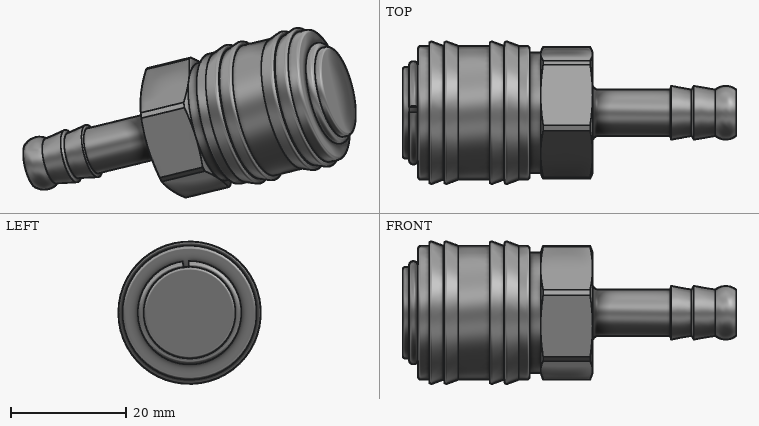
import cadquery as cq
import math


total_length = 58.0
plug_diameter = 15.95
plug_face_diameter = 14.95
neck_start = 20.0
neck_diameter = 21.0

hex_start = 24.0
hex_end = 33.0
hex_across_flats = 21.0
hex_corner_diameter = 23.7
hex_turn = 17.3
hex_chamfer = 0.42

stem_diameter = 8.1
stem_fillet = 1.0
barb_tip_diameter = 9.4
barb_tips = (46.65, 50.6)
barb_back_lengths = (0.15, 0.4)
bulb_start = 54.35
bulb_crest = 56.1
bulb_end_diameter = 8.0

sleeve_start = 2.65
sleeve_end = 22.1
sleeve_diameter = 23.3
sleeve_edge_fillet = 0.55
front_bore_diameter = 16.1
rear_bore_diameter = 21.1

grip_starts = (4.6, 15.1)
grip_pitch = 2.6
grip_diameter = 24.8
grip_crest_radius = 0.4
grip_taper = 20.5

ring_outer_diameter = 18.0
ring_wire_diameter = 1.56
ring_position = sleeve_start - ring_wire_diameter / 2
ring_gap_start = 0.8
ring_gap_angle = 6.8


def axial_cylinder(diameter, start, end):
    return cq.Workplane("YZ", origin=(start, 0, 0)).circle(diameter / 2).extrude(end - start)


def revolve_about_x(profile):
    return profile.close().revolve(360, (0, 0, 0), (1, 0, 0))


def ring_wire(angle):
    """Round wire bent about X through the given angle, starting at the top (+Z)."""
    wire_radius = ring_wire_diameter / 2
    bend_radius = ring_outer_diameter / 2 - wire_radius
    return (
        cq.Workplane("XZ")
        .center(ring_position, bend_radius)
        .circle(wire_radius)
        .revolve(angle, (0, -bend_radius, 0), (1, -bend_radius, 0))
    )


def make_hexagon():
    """Hexagon with turned corners and a conical chamfer on both ends."""
    flat_radius = hex_across_flats / 2
    corner_radius = hex_corner_diameter / 2
    envelope = revolve_about_x(
        cq.Workplane("XY")
        .moveTo(hex_start, 0)
        .lineTo(hex_start, flat_radius)
        .lineTo(hex_start + hex_chamfer, corner_radius)
        .lineTo(hex_end - hex_chamfer, corner_radius)
        .lineTo(hex_end, flat_radius)
        .lineTo(hex_end, 0)
    )
    prism = (
        cq.Workplane("YZ", origin=(hex_start, 0, 0))
        .polygon(6, hex_across_flats / math.cos(math.pi / 6))
        .extrude(hex_end - hex_start)
        .rotate((0, 0, 0), (1, 0, 0), -hex_turn)
    )
    return prism.intersect(envelope)


def make_hose_stem():
    """Stem with a concave root fillet, saw-tooth barbs and a rounded end bulb."""
    stem_radius = stem_diameter / 2
    tip_radius = barb_tip_diameter / 2
    fillet_swing = stem_fillet * (1 - math.sqrt(0.5))
    profile = (
        cq.Workplane("XY")
        .moveTo(hex_end, 0)
        .lineTo(hex_end, stem_radius + stem_fillet)
        .threePointArc(
            (hex_end + fillet_swing, stem_radius + fillet_swing),
            (hex_end + stem_fillet, stem_radius),
        )
    )
    for tip, back_length in zip(barb_tips, barb_back_lengths):
        profile = profile.lineTo(tip - back_length, stem_radius).lineTo(tip, tip_radius)
    profile = (
        profile.lineTo(bulb_start, stem_radius)
        .threePointArc((bulb_crest, tip_radius), (total_length, bulb_end_diameter / 2))
        .lineTo(total_length, 0)
    )
    return revolve_about_x(profile)


def make_body():
    plug_edge_fillet = (plug_diameter - plug_face_diameter) / 2
    plug = axial_cylinder(plug_diameter, 0, neck_start).faces("<X").edges().fillet(plug_edge_fillet)
    neck = axial_cylinder(neck_diameter, neck_start, hex_start)
    ring_groove = ring_wire(360)
    return plug.union(neck).union(make_hexagon()).union(make_hose_stem()).cut(ring_groove)


def make_snap_ring():
    ring = ring_wire(360 - ring_gap_angle)
    return ring.rotate((0, 0, 0), (1, 0, 0), -ring_gap_start)


def grip_ridge(start):
    """Ridge with a flat front, a rounded crest and a back that tapers down to the sleeve."""
    inner_radius = rear_bore_diameter / 2
    arc_x = start + grip_crest_radius
    arc_height = grip_diameter / 2 - grip_crest_radius
    taper = math.radians(grip_taper)
    back_x = arc_x + grip_crest_radius * math.sin(taper)
    back_height = arc_height + grip_crest_radius * math.cos(taper)
    end_x = back_x + (back_height - sleeve_diameter / 2) / math.tan(taper)
    return revolve_about_x(
        cq.Workplane("XY")
        .moveTo(start, inner_radius)
        .lineTo(start, arc_height)
        .threePointArc((arc_x, grip_diameter / 2), (back_x, back_height))
        .lineTo(end_x, sleeve_diameter / 2)
        .lineTo(end_x, inner_radius)
    )


def make_sleeve():
    sleeve = axial_cylinder(sleeve_diameter, sleeve_start, sleeve_end)
    sleeve = sleeve.faces("<X or >X").edges().fillet(sleeve_edge_fillet)
    for pair_start in grip_starts:
        for start in (pair_start, pair_start + grip_pitch):
            sleeve = sleeve.union(grip_ridge(start))
    front_bore = axial_cylinder(front_bore_diameter, sleeve_start, sleeve_end)
    rear_bore = axial_cylinder(rear_bore_diameter, neck_start, sleeve_end)
    return sleeve.cut(front_bore).cut(rear_bore)


body = make_body()
snap_ring = make_snap_ring()
sleeve = make_sleeve()

result = cq.Compound.makeCompound([part.solids().val() for part in (body, snap_ring, sleeve)])